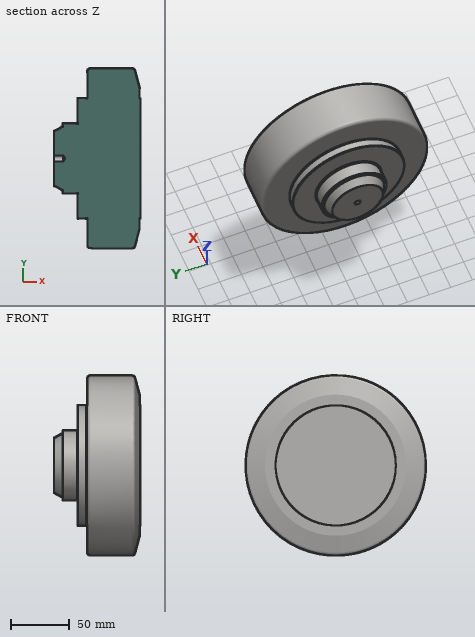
import cadquery as cq
import math

wheel_dia = 153.8
flange_dia = 103.0
hub_dia = 102.5
sleeve_dia = 60.0
nose_tip_dia = 46.8
nose_base_dia = 55.0
rear_face_dia = 120.3

sleeve_front = 7.5
flange_front = 20.0
flange_rear = 27.5
wheel_front = 28.3
hub_rear = 74.0
wheel_rear = hub_rear - (wheel_front - flange_rear)

edge_chamfer = 0.5
wheel_fillet = 3.0
rear_cone_angle = math.radians(15)

recess_dia = 61.0
recess_depth = 0.5

centre_hole_dia = 4.9
centre_hole_depth = 7.7
drill_half_angle = math.radians(59)


def disc(x_start, x_end, dia):
    """Cylinder about the X axis between two positions."""
    return cq.Workplane("YZ", origin=(x_start, 0, 0)).circle(dia / 2).extrude(x_end - x_start)


def cone(x_start, start_dia, x_end, end_dia):
    """Cone about the X axis; an end diameter of zero gives a pointed end."""
    solid = cq.Solid.makeCone(
        start_dia / 2,
        end_dia / 2,
        x_end - x_start,
        pnt=cq.Vector(x_start, 0, 0),
        dir=cq.Vector(1, 0, 0),
    )
    return cq.Workplane("XY").newObject([solid])


def make_wheel():
    """Wheel with filleted rims and a conical rear shoulder."""
    rim_radius = wheel_dia / 2
    rear_face_radius = rear_face_dia / 2
    shoulder_length = (rim_radius - rear_face_radius) * math.tan(rear_cone_angle)
    profile = (
        cq.Workplane("XY")
        .moveTo(wheel_front, 0)
        .lineTo(wheel_front, rim_radius)
        .lineTo(wheel_rear - shoulder_length, rim_radius)
        .lineTo(wheel_rear, rear_face_radius)
        .lineTo(wheel_rear, 0)
        .close()
    )
    wheel = profile.revolve(360, (0, 0, 0), (1, 0, 0))
    rim_edges = cq.selectors.RadiusNthSelector(-1)
    return wheel.edges(rim_edges).fillet(wheel_fillet)


def make_hub():
    """Hub through the wheel, standing slightly proud of both wheel faces."""
    return disc(flange_rear, hub_rear, hub_dia)


def make_flange():
    """Flange with a chamfered front edge and a recess for the sleeve foot."""
    flange = disc(flange_front, flange_rear, flange_dia).faces("<X").chamfer(edge_chamfer)
    return flange.cut(disc(flange_front, flange_front + recess_depth, recess_dia))


def make_sleeve():
    """Sleeve chamfered at both ends, seated on the floor of the flange recess."""
    sleeve = disc(sleeve_front, flange_front, sleeve_dia).faces("<X or >X").chamfer(edge_chamfer)
    foot = disc(flange_front, flange_front + recess_depth, sleeve_dia - 2 * edge_chamfer)
    return sleeve.union(foot)


def make_nose():
    """Solid tapered nose ahead of the sleeve."""
    return cone(0, nose_tip_dia, sleeve_front, nose_base_dia)


def make_centre_hole():
    """Cutter for the drilled hole, ending in a drill point."""
    point_length = centre_hole_dia / 2 / math.tan(drill_half_angle)
    bore = disc(0, centre_hole_depth, centre_hole_dia)
    point = cone(centre_hole_depth, centre_hole_dia, centre_hole_depth + point_length, 0)
    return bore.union(point)


body = make_wheel().union(make_hub()).union(make_flange()).union(make_sleeve()).union(make_nose())
result = body.cut(make_centre_hole())